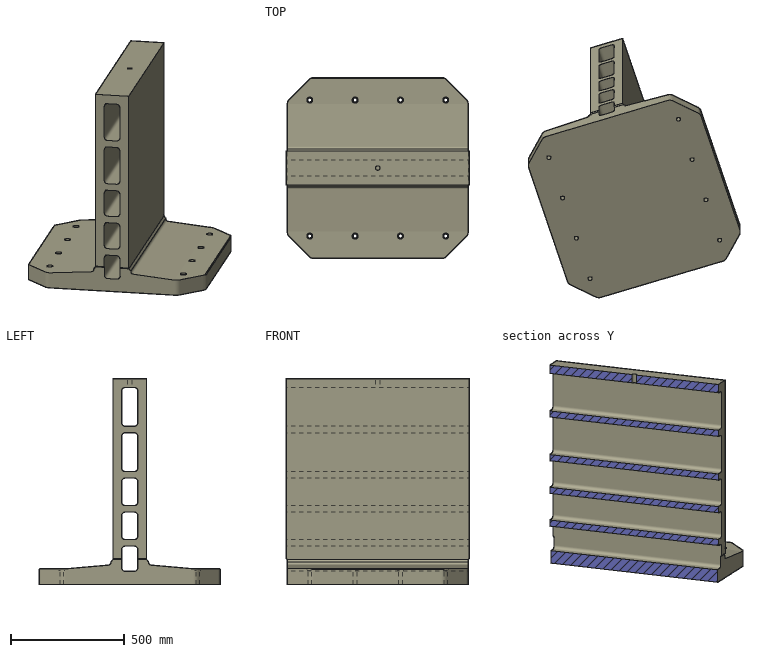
import cadquery as cq
import math

total_height = 910.0
base_side = 800.0
wall_length = 810.0
wall_thickness = 150.0

base_height = 110.0
flange_thickness = 70.0
flange_inner_y = 281.0
top_slope = math.radians(5)
pedestal_width = 167.0
pedestal_chamfer_height = 10.0
foot_radius = 11.0

corner_cut = 106.0
corner_radius = 30.0
flange_edge_chamfer = 4.0

window_width = 70.0
window_heights = [170.0, 170.0, 120.0, 120.0, 110.0]
window_radius = 15.0
window_web = 30.0
top_web = 40.0

hole_columns = 4
hole_rows = 2
hole_spacing_x = 200.0
hole_row_y = 300.0
hole_diameter = 17.0
counterbore_diameter = 26.0
counterbore_depth = 9.0

lifting_hole_diameter = 20.0


def make_base():
    """Sloped base with a chamfered pedestal, its four corners cut off and rounded."""
    half_side = base_side / 2
    half_pedestal = pedestal_width / 2
    pedestal_foot = flange_thickness + math.tan(top_slope) * (flange_inner_y - half_pedestal)

    right_half = [
        (half_side, 0),
        (half_side, flange_thickness - flange_edge_chamfer),
        (half_side - flange_edge_chamfer, flange_thickness),
        (flange_inner_y, flange_thickness),
        (half_pedestal, pedestal_foot),
        (half_pedestal, base_height - pedestal_chamfer_height),
        (wall_thickness / 2, base_height),
    ]
    left_half = [(-y, z) for y, z in reversed(right_half)]
    base = (
        cq.Workplane("YZ")
        .polyline(right_half + left_half)
        .close()
        .extrude(half_side, both=True)
    )
    for side in (-1, 1):
        foot_point = (0, side * half_pedestal, pedestal_foot)
        base = base.edges(cq.selectors.NearestToPointSelector(foot_point)).fillet(foot_radius)

    footprint = (
        cq.Workplane("XY")
        .rect(base_side, base_side)
        .extrude(base_height)
        .edges("|Z")
        .chamfer(corner_cut)
        .edges("|Z")
        .fillet(corner_radius)
    )
    return base.intersect(footprint)


def make_wall():
    """Upright slab overhanging the base along X, with its overhanging lower edges bevelled."""
    overhang = (wall_length - base_side) / 2
    return (
        cq.Workplane("XY", origin=(0, 0, base_height))
        .box(wall_length, wall_thickness, total_height - base_height, centered=(True, True, False))
        .faces("<Z")
        .edges("|Y")
        .chamfer(overhang)
    )


def cut_windows(part):
    """Rounded rectangular windows running the full length of the wall."""
    window_top = total_height - top_web
    for height in window_heights:
        window = (
            cq.Workplane("XY", origin=(0, 0, window_top - height / 2))
            .box(wall_length, window_width, height)
            .edges("|X")
            .fillet(window_radius)
        )
        part = part.cut(window)
        window_top -= height + window_web
    return part


def cut_mounting_holes(part):
    """A row of counterbored through holes in each flange."""
    return (
        part.copyWorkplane(cq.Workplane("XY", origin=(0, 0, flange_thickness)))
        .rarray(hole_spacing_x, 2 * hole_row_y, hole_columns, hole_rows)
        .cboreHole(hole_diameter, counterbore_diameter, counterbore_depth, flange_thickness)
    )


def cut_lifting_hole(part):
    """Plain hole from the top of the wall down into the uppermost window."""
    hole_depth = top_web + window_radius
    return part.faces(">Z").workplane().hole(lifting_hole_diameter, hole_depth)


result = make_base().union(make_wall())
result = cut_windows(result)
result = cut_mounting_holes(result)
result = cut_lifting_hole(result)